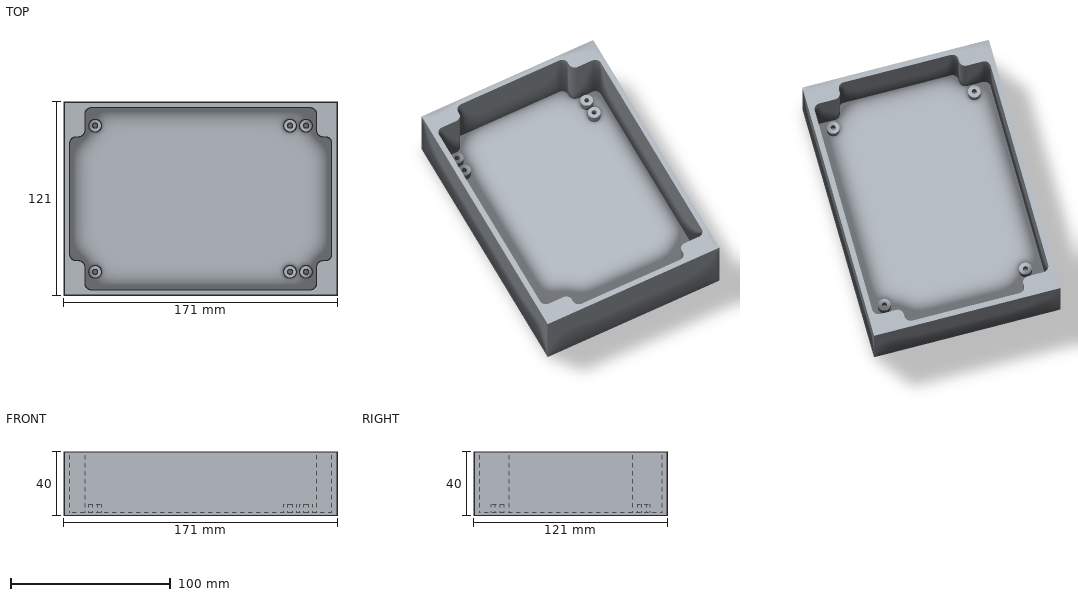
import cadquery as cq

LENGTH = 171.0
WIDTH = 121.0
HEIGHT = 40.0

WALL = 3.5
FLOOR = 2.0
CORNER_POST_X = 13.0
CORNER_POST_Y = 21.75
CAVITY_RADIUS = 4.0

BOSS_DIAMETER = 8.0
BOSS_HEIGHT = 5.0
BOSS_HOLE_DIAMETER = 3.2
BOSS_X_POSITIONS = (-66.1, 55.9, 65.9)
BOSS_Y_OFFSET = 45.75
BOSS_POINTS = [(x, side * BOSS_Y_OFFSET) for x in BOSS_X_POSITIONS for side in (-1, 1)]


def floor_plane():
    """Workplane on the cavity floor."""
    return cq.Workplane("XY").workplane(offset=FLOOR)


def make_cavity():
    """Cross-shaped pocket that leaves a solid post in each corner of the box."""
    depth = HEIGHT - FLOOR
    full_length = floor_plane().rect(LENGTH - 2 * WALL, WIDTH - 2 * CORNER_POST_Y).extrude(depth)
    full_width = floor_plane().rect(LENGTH - 2 * CORNER_POST_X, WIDTH - 2 * WALL).extrude(depth)
    return full_length.union(full_width).edges("|Z").fillet(CAVITY_RADIUS)


def make_bosses():
    """Solid cylinders standing on the floor, sunk into it so they join the box."""
    return cq.Workplane("XY").pushPoints(BOSS_POINTS).circle(BOSS_DIAMETER / 2).extrude(FLOOR + BOSS_HEIGHT)


def make_boss_holes():
    """Blind holes from the boss tops down to floor level."""
    return floor_plane().pushPoints(BOSS_POINTS).circle(BOSS_HOLE_DIAMETER / 2).extrude(BOSS_HEIGHT)


block = cq.Workplane("XY").box(LENGTH, WIDTH, HEIGHT, centered=(True, True, False))
result = block.cut(make_cavity()).union(make_bosses()).cut(make_boss_holes())